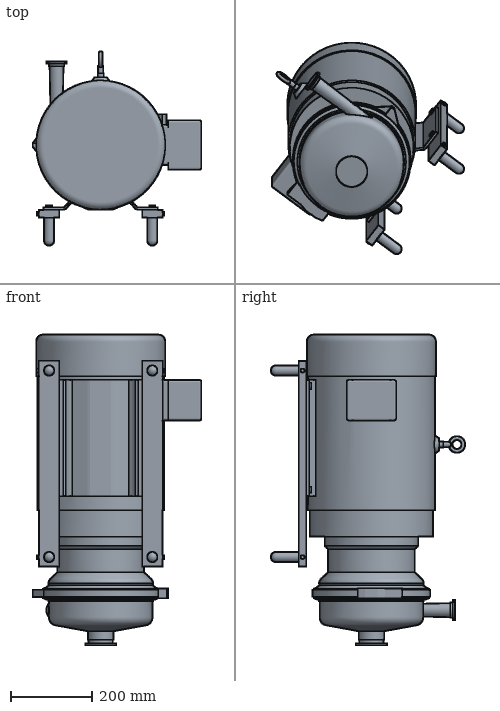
import cadquery as cq
import math

total_height = 765.0

cowl_radius = 159.0
cowl_bottom = 663.0
cowl_round = 17.5
motor_radius = 157.0
motor_bottom = 332.0
end_shield_radius = 152.0
end_shield_bottom = 268.0

spigot_radius = 115.5
spigot_bottom = 245.0
spigot_chamfer = 8.5
neck_radius = 107.0

cover_top = 180.0
cover_slope_bottom = 164.0
cover_slope_radius = 124.0
cover_radius = 129.0
cover_rim_top = 152.0
cover_bottom = 148.5
bowl_radius = 128.0
bowl_rim_radius = 129.0
bowl_rim_bottom = 109.0
clamp_radius = 145.5
clamp_top = 136.0
clamp_bottom = 119.5
clamp_inner_radius = 134.0
clamp_slope = 7.0
clamp_lip_radius = 142.0
clamp_lip_height = 3.0
bowl_round_top = 69.0
cone_edge = 52.0
cone_bottom = 34.5

outlet_radius = 31.8
outlet_end_radius = 30.2
outlet_step = 14.0
outlet_flange_radius = 38.65
outlet_flange_thickness = 5.0

nozzle_x = -109.0
nozzle_z = 86.5
nozzle_radius = 15.7
nozzle_end_radius = 17.5
nozzle_collar_radius = 19.0
nozzle_taper_start = 97.0
nozzle_taper_end = 194.0
nozzle_flange_radius = 25.0
nozzle_flange_back = 200.5
nozzle_end = 206.0

clamp_middle = (clamp_top + clamp_bottom) / 2
hinge_tip_x = -167.5
hinge_half_width = 46.0
hinge_root_x = -134.0
hinge_height = 18.0
hinge_tip_half_width = 4.5
hinge_tongue_height = 7.0
lug_inner_x = 122.5
lug_outer_x = 162.0
lug_nose_x = 167.0
lug_half_width = 34.0
lug_nose_half_width = 15.0
lug_height = 24.5
lug_arm_top_x = 151.5
lug_arm_end_y = 76.0

eye_z = 494.5
eye_center_y = 210.5
eye_radius = 15.7
eye_wire_radius = 5.0
eye_shank_radius = 8.0
eye_thread_radius = 7.0
eye_shank_end = 177.0
eye_boss_top_radius = 15.0
eye_boss_radius = 25.0
eye_boss_start = 153.0
eye_boss_end = 167.0

box_neck_start_x = 138.0
box_inner_x = 166.0
box_outer_x = 248.0
box_half_width = 61.0
box_bottom = 553.0
box_top = 654.0
box_round = 6.0
box_end_round = 5.0
box_neck_half_width = 50.0

foot_bottom = 367.0
foot_top = 654.0
foot_face_y = -160.0
foot_sheet = 7.0
foot_pad_half_width = 26.0
foot_shoulder = (32.0, -158.5)
foot_valley = (70.0, -141.5)
foot_leg_top = (76.5, -147.0)
foot_leg_bottom = (86.0, -158.0)
foot_leg_inner_end = (65.0, -127.0)
foot_tab_bend_x = 92.5
foot_tab_inner_bend_x = 90.0
foot_tab_end = 141.0
foot_bolt_radius = 8.0
foot_bolt_height = 4.5
foot_bolt_inset = 15.0

rail_x = 127.0
rail_width = 50.5
rail_thickness = 19.0
rail_bottom = 194.0
rail_length = 507.0
leg_inset = 24.0
leg_radius = 12.6
leg_tip_y = -248.0
peg_radius = 5.0
peg_length = 4.5


def cylinder_y(x, z, radius, y_start, y_end):
    """Cylinder along Y between two Y positions."""
    start = cq.Vector(x, y_start, z)
    return cq.Workplane(cq.Solid.makeCylinder(radius, y_end - y_start, start, cq.Vector(0, 1, 0)))


def cone_y(x, z, start_radius, end_radius, y_start, y_end):
    """Cone along Y between two Y positions."""
    return cq.Workplane(
        cq.Solid.makeCone(
            start_radius, end_radius, y_end - y_start, cq.Vector(x, y_start, z), cq.Vector(0, 1, 0)
        )
    )


def prism(points, z_bottom, z_top):
    """Plan outline raised between two heights."""
    return cq.Workplane("XY", origin=(0, 0, z_bottom)).polyline(points).close().extrude(z_top - z_bottom)


def turned_body():
    """Motor, adapter, pump casing and outlet as one turned shape."""
    slope = math.atan2(cone_edge - cone_bottom, bowl_radius - outlet_radius)
    tangent = bowl_round_top - cone_edge
    round_end = (bowl_radius - tangent * math.cos(slope), cone_edge - tangent * math.sin(slope))
    outline = (
        cq.Workplane("XZ")
        .moveTo(0, 0)
        .lineTo(0, total_height)
        .lineTo(cowl_radius - cowl_round, total_height)
        .tangentArcPoint((cowl_radius, total_height - cowl_round), relative=False)
        .lineTo(cowl_radius, cowl_bottom)
        .lineTo(motor_radius, cowl_bottom)
        .lineTo(motor_radius, motor_bottom)
        .lineTo(end_shield_radius, motor_bottom)
        .lineTo(end_shield_radius, end_shield_bottom)
        .lineTo(spigot_radius, end_shield_bottom)
        .lineTo(spigot_radius, spigot_bottom)
        .lineTo(neck_radius, spigot_bottom - spigot_chamfer)
        .lineTo(neck_radius, cover_top)
        .lineTo(cover_slope_radius, cover_slope_bottom)
        .tangentArcPoint((cover_radius, cover_rim_top), relative=False)
        .lineTo(bowl_radius, cover_bottom)
        .lineTo(clamp_inner_radius, clamp_top + clamp_slope)
        .lineTo(clamp_lip_radius, clamp_top + clamp_lip_height)
        .lineTo(clamp_lip_radius, clamp_top)
        .lineTo(clamp_radius, clamp_top)
        .lineTo(clamp_radius, clamp_bottom)
        .lineTo(clamp_lip_radius, clamp_bottom)
        .lineTo(clamp_lip_radius, clamp_bottom - clamp_lip_height)
        .lineTo(clamp_inner_radius, clamp_bottom - clamp_slope)
        .lineTo(bowl_rim_radius, clamp_bottom - clamp_slope)
        .lineTo(bowl_rim_radius, bowl_rim_bottom)
        .lineTo(bowl_radius, bowl_rim_bottom)
        .lineTo(bowl_radius, bowl_round_top)
        .tangentArcPoint(round_end, relative=False)
        .lineTo(outlet_radius, cone_bottom)
        .lineTo(outlet_radius, outlet_step)
        .lineTo(outlet_end_radius, outlet_step)
        .lineTo(outlet_end_radius, outlet_flange_thickness)
        .lineTo(outlet_flange_radius, outlet_flange_thickness)
        .lineTo(outlet_flange_radius, 0)
        .close()
    )
    return outline.revolve(360, (0, 0, 0), (0, 1, 0))


def side_nozzle():
    """Tangential pipe that widens towards its flange."""
    pipe = cylinder_y(nozzle_x, nozzle_z, nozzle_radius, 0, nozzle_taper_start)
    taper = cone_y(
        nozzle_x, nozzle_z, nozzle_radius, nozzle_end_radius, nozzle_taper_start, nozzle_taper_end
    )
    collar = cylinder_y(nozzle_x, nozzle_z, nozzle_collar_radius, nozzle_taper_end, nozzle_flange_back)
    flange = cylinder_y(nozzle_x, nozzle_z, nozzle_flange_radius, nozzle_flange_back, nozzle_end)
    return pipe.union(taper).union(collar).union(flange)


def clamp_hinge():
    """Hinge on the -X side, with a full-height front wing and a thin back tongue."""
    tip_half = hinge_tip_half_width
    front_wing = prism(
        [
            (hinge_tip_x, tip_half),
            (hinge_tip_x, -tip_half),
            (hinge_root_x, -hinge_half_width),
            (hinge_root_x, tip_half),
        ],
        clamp_middle - hinge_height / 2,
        clamp_middle + hinge_height / 2,
    )
    back_tongue = prism(
        [(hinge_tip_x, tip_half), (hinge_root_x, tip_half), (hinge_root_x, hinge_half_width)],
        clamp_middle - hinge_tongue_height / 2,
        clamp_middle + hinge_tongue_height / 2,
    )
    return front_wing.union(back_tongue)


def clamp_lug():
    """Closing lug on the +X side, with a sloped arm that runs on towards +Y."""
    bottom = clamp_middle - lug_height / 2
    top = clamp_middle + lug_height / 2
    block = prism(
        [
            (lug_inner_x, -lug_half_width),
            (lug_outer_x, -lug_half_width),
            (lug_nose_x, -lug_nose_half_width),
            (lug_nose_x, lug_nose_half_width),
            (lug_outer_x, lug_half_width),
            (lug_inner_x, lug_half_width),
        ],
        bottom,
        top,
    )
    arm_section = [(lug_inner_x, bottom), (lug_outer_x, bottom), (lug_outer_x, top), (lug_arm_top_x, top)]
    arm = (
        cq.Workplane("XZ", origin=(0, lug_arm_end_y, 0))
        .polyline(arm_section)
        .close()
        .extrude(lug_arm_end_y)
    )
    return block.union(arm)


def eye_bolt():
    """Lifting eye on a conical boss."""
    boss = cone_y(0, eye_z, eye_boss_radius, eye_boss_top_radius, eye_boss_start, eye_boss_end)
    shank = cylinder_y(0, eye_z, eye_shank_radius, eye_boss_start, eye_shank_end)
    thread = cylinder_y(0, eye_z, eye_thread_radius, eye_shank_end, eye_center_y - eye_radius)
    ring = cq.Workplane(
        cq.Solid.makeTorus(eye_radius, eye_wire_radius, cq.Vector(0, eye_center_y, eye_z), cq.Vector(1, 0, 0))
    )
    return boss.union(shank).union(thread).union(ring)


def terminal_box():
    """Box with rounded long edges on a narrower neck."""
    height = box_top - box_bottom
    middle = (box_top + box_bottom) / 2

    def block(x_start, x_end, half_width):
        return (
            cq.Workplane("YZ", origin=(x_start, 0, middle))
            .rect(2 * half_width, height)
            .extrude(x_end - x_start)
            .edges("|X")
            .fillet(box_round)
        )

    neck = block(box_neck_start_x, box_inner_x, box_neck_half_width)
    housing = block(box_inner_x, box_outer_x, box_half_width).faces(">X").edges().fillet(box_end_round)
    return housing.union(neck)


def motor_foot():
    """Bent sheet under the motor, with a bolted tab on each side."""
    tab_back = foot_face_y + foot_sheet
    half_outline = [
        (foot_pad_half_width, foot_face_y),
        foot_shoulder,
        foot_valley,
        foot_leg_top,
        foot_leg_bottom,
        (foot_tab_bend_x, foot_face_y),
        (foot_tab_end, foot_face_y),
        (foot_tab_end, tab_back),
        (foot_tab_inner_bend_x, tab_back),
        foot_leg_inner_end,
    ]
    mirrored = [(-x, y) for x, y in reversed(half_outline)]
    foot = prism(half_outline + mirrored, foot_bottom, foot_top)
    for x in (-rail_x, rail_x):
        for z in (foot_bottom + foot_bolt_inset, foot_top - foot_bolt_inset):
            foot = foot.union(
                cylinder_y(x, z, foot_bolt_radius, tab_back, tab_back + foot_bolt_height)
            )
    return foot


def motor_pump():
    """Motor and pump with everything fixed to them."""
    body = turned_body()
    for part in (
        side_nozzle(), clamp_hinge(), clamp_lug(), eye_bolt(), terminal_box(), motor_foot()
    ):
        body = body.union(part)
    return body


def rail(side):
    """Rail on the side -1 or +1, with a round-ended leg and a side peg near each end."""
    rail_front = foot_face_y - rail_thickness
    bar = cq.Workplane("XY").box(rail_width, rail_thickness, rail_length, centered=(True, False, False))
    bar = bar.translate((side * rail_x, rail_front, rail_bottom))
    peg_y = foot_face_y - rail_thickness / 2
    for z in (rail_bottom + leg_inset, rail_bottom + rail_length - leg_inset):
        dome_y = leg_tip_y + leg_radius
        leg = cylinder_y(side * rail_x, z, leg_radius, dome_y, rail_front)
        dome = cq.Workplane("XY").sphere(leg_radius).translate((side * rail_x, dome_y, z))
        peg = cq.Workplane(
            cq.Solid.makeCylinder(
                peg_radius,
                rail_width / 2 + peg_length,
                cq.Vector(side * rail_x, peg_y, z),
                cq.Vector(side, 0, 0),
            )
        )
        bar = bar.union(leg).union(dome).union(peg)
    return bar


pump = motor_pump()
rails = [rail(side) for side in (-1, 1)]
result = cq.Compound.makeCompound([pump.val(), *[bar.val() for bar in rails]])